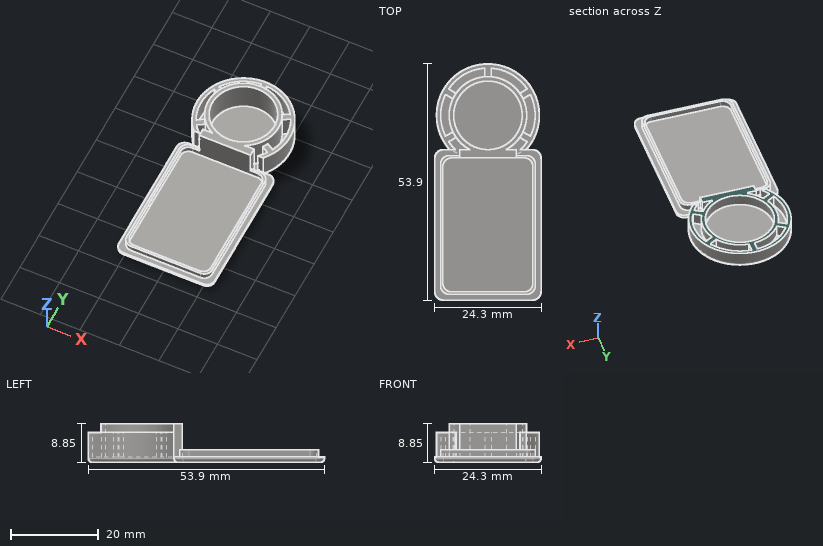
import cadquery as cq

plate_width = 24.3
plate_thickness = 1.3
plate_corner_radius = 2.0
bottom_edge_radius = 0.95
lip_inset = 1.35
lip_wall = 0.55
lip_corner_radius = 2.0
lip_top = 2.9

total_length = 53.9
total_height = 8.85
cup_radius = 11.75
cup_height = 6.85
groove_outer_radius = 10.8
inner_wall_radius = 8.85
bore_radius = 7.8
cup_floor = plate_thickness
rib_width = 1.45
rib_angles = (-30, 30, 90, 150, 210)

block_width = 12.95

cup_center_y = total_length - cup_radius
plate_length = cup_center_y - bore_radius
block_depth = lip_inset + lip_wall


def cylinder(radius, bottom, top):
    """Vertical cylinder on the cup axis."""
    return cq.Workplane("XY", origin=(0, cup_center_y, bottom)).circle(radius).extrude(top - bottom)


def rounded_slab(inset, corner_radius, bottom, top):
    """Slab with rounded corners, inset evenly from the plate outline."""
    return (
        cq.Workplane("XY", origin=(0, plate_length / 2, bottom))
        .rect(plate_width - 2 * inset, plate_length - 2 * inset)
        .extrude(top - bottom)
        .edges("|Z")
        .fillet(corner_radius)
    )


def make_plate():
    plate = rounded_slab(0, plate_corner_radius, 0, plate_thickness)
    plate = plate.faces("<Z").edges().fillet(bottom_edge_radius)
    lip = rounded_slab(lip_inset, lip_corner_radius, plate_thickness, lip_top)
    recess = rounded_slab(lip_inset + lip_wall, lip_corner_radius, plate_thickness, lip_top)
    return plate.union(lip.cut(recess))


def make_ribs():
    """Radial ribs bridging the groove between the two cup walls."""
    rib_start = (bore_radius + inner_wall_radius) / 2
    rib_end = (groove_outer_radius + cup_radius) / 2
    rib = (
        cq.Workplane("XY", origin=(0, cup_center_y, cup_floor))
        .center((rib_start + rib_end) / 2, 0)
        .rect(rib_end - rib_start, rib_width)
        .extrude(cup_height - cup_floor)
    )
    ribs = cq.Workplane("XY")
    for angle in rib_angles:
        ribs = ribs.union(rib.rotate((0, cup_center_y, 0), (0, cup_center_y, 1), angle))
    return ribs


def make_cup():
    cup = cylinder(cup_radius, 0, cup_height).faces("<Z").edges().fillet(bottom_edge_radius)
    cup = cup.cut(cylinder(groove_outer_radius, cup_floor, cup_height))
    cup = cup.union(cylinder(inner_wall_radius, cup_floor, total_height))
    cup = cup.union(make_ribs())

    clearance = (
        cq.Workplane("XY", origin=(0, 0, plate_thickness))
        .rect(plate_width, 2 * plate_length)
        .extrude(total_height)
    )
    return cup.cut(clearance)


def make_block():
    return (
        cq.Workplane("XY", origin=(0, plate_length - block_depth / 2, plate_thickness))
        .rect(block_width, block_depth)
        .extrude(total_height - plate_thickness)
    )


bore = cylinder(bore_radius, cup_floor, total_height)
result = make_cup().union(make_plate()).union(make_block()).cut(bore)